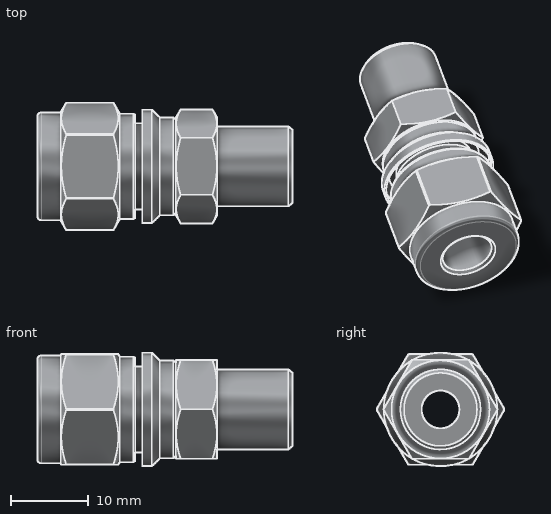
import cadquery as cq
import math

length = 32.85
nut_hex_start = 3.0
nut_hex_end = 10.6
nut_end = 12.58
collar_start = 13.45
neck_end = 14.25
collar_rim_end = 14.75
collar_cone_end = 15.75
body_hex_start = 17.83
body_hex_end = 23.12

nut_front_diameter = 13.9
nut_rear_diameter = 13.6
neck_diameter = 11.1
groove_diameter = 10.1
collar_diameter = 14.6
shoulder_diameter = 12.6
stub_diameter = 10.3
stub_tip_diameter = 9.4

nut_across_flats = 14.3
nut_corner_diameter = 16.4
body_across_flats = 12.7
hex_chamfer_angle = math.radians(30)

nut_front_fillet = 0.53
nut_rear_chamfer = 0.25
nut_rear_chamfer_drop = 0.13
shoulder_chamfer = 0.33
stub_chamfer = 0.55

collar_wall = 0.25

bore_diameter = 4.83
socket_diameter = 6.55
socket_mouth_diameter = 7.32
socket_depth = 11.82


def revolve_profile(points):
    """Revolve an (x, radius) outline, closed along the axis, about X."""
    outline = [(points[0][0], 0), *points, (points[-1][0], 0)]
    return cq.Workplane("XY").polyline(outline).close().revolve(360, (0, 0, 0), (1, 0, 0))


def cylinder(start, end, diameter):
    return revolve_profile([(start, diameter / 2), (end, diameter / 2)])


def chamfered_hex(start, end, across_flats, corner_diameter, start_diameter, end_diameter):
    """Hexagon with corners on the Y axis, trimmed by a cone at each end."""
    prism = (
        cq.Workplane("YZ", origin=(start, 0, 0))
        .polygon(6, across_flats / math.cos(math.pi / 6))
        .extrude(end - start)
    )
    start_run = (corner_diameter - start_diameter) / 2 * math.tan(hex_chamfer_angle)
    end_run = (corner_diameter - end_diameter) / 2 * math.tan(hex_chamfer_angle)
    envelope = revolve_profile([
        (start, start_diameter / 2),
        (start + start_run, corner_diameter / 2),
        (end - end_run, corner_diameter / 2),
        (end, end_diameter / 2),
    ])
    return prism.intersect(envelope)


def make_nut():
    front = cylinder(0, nut_hex_start, nut_front_diameter).faces("<X").edges().fillet(nut_front_fillet)
    hexagon = chamfered_hex(
        nut_hex_start, nut_hex_end, nut_across_flats, nut_corner_diameter,
        nut_front_diameter, nut_rear_diameter,
    )
    rear_radius = nut_rear_diameter / 2
    rear = revolve_profile([
        (nut_hex_end, rear_radius),
        (nut_end - nut_rear_chamfer, rear_radius),
        (nut_end, rear_radius - nut_rear_chamfer_drop),
    ])
    return front.union(hexagon).union(rear)


def make_collar():
    shoulder_radius = shoulder_diameter / 2
    collar = revolve_profile([
        (collar_start, collar_diameter / 2),
        (collar_rim_end, collar_diameter / 2),
        (collar_cone_end, shoulder_radius),
        (body_hex_start - shoulder_chamfer, shoulder_radius),
        (body_hex_start, shoulder_radius - shoulder_chamfer),
    ])
    dish_radius = collar_diameter / 2 - collar_wall
    dish = revolve_profile([
        (collar_start, dish_radius),
        (collar_rim_end, dish_radius),
        (collar_cone_end, shoulder_radius - collar_wall),
    ])
    neck_radius = neck_diameter / 2
    groove_radius = groove_diameter / 2
    post = revolve_profile([
        (collar_start, neck_radius),
        (neck_end, neck_radius),
        (neck_end, groove_radius),
        (collar_cone_end, groove_radius),
    ])
    return collar.cut(dish.cut(post))


def make_body():
    neck = cylinder(nut_end, collar_start, neck_diameter)
    hexagon = chamfered_hex(
        body_hex_start, body_hex_end, body_across_flats,
        body_across_flats / math.cos(math.pi / 6), shoulder_diameter, shoulder_diameter,
    )
    stub = revolve_profile([
        (body_hex_end, stub_diameter / 2),
        (length - stub_chamfer, stub_diameter / 2),
        (length, stub_tip_diameter / 2),
    ])
    return neck.union(make_collar()).union(hexagon).union(stub)


def make_bore():
    socket_radius = socket_diameter / 2
    mouth_radius = socket_mouth_diameter / 2
    mouth_depth = mouth_radius - socket_radius
    return revolve_profile([
        (0, mouth_radius),
        (mouth_depth, socket_radius),
        (socket_depth, socket_radius),
        (socket_depth, bore_diameter / 2),
        (length, bore_diameter / 2),
    ])


result = make_nut().union(make_body()).cut(make_bore())